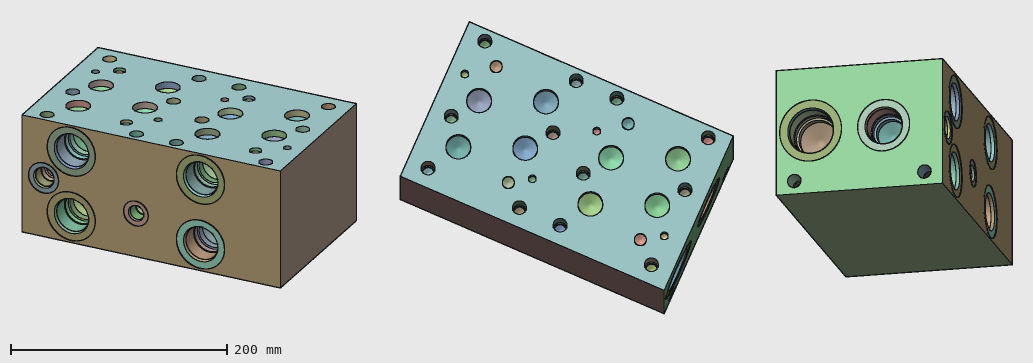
import cadquery as cq
import math

LENGTH = 266.7
WIDTH = 158.7
HEIGHT = 120.5

STATION_COUNT = 2
STATION_PITCH = LENGTH / STATION_COUNT

DRILL_POINT_ANGLE = 118.0
TIP_RATIO = 1 / math.tan(math.radians(DRILL_POINT_ANGLE / 2))

PATTERN_X = 20.5
PATTERN_Y = 11.0
SCREW_COLUMN_PITCH = 92.3
SCREW_ROW_PITCH = 130.5
SCREW_SPOTS = [
    (0, 0),
    (SCREW_COLUMN_PITCH, 0),
    (SCREW_COLUMN_PITCH, SCREW_ROW_PITCH),
    (0, SCREW_ROW_PITCH),
    (0, 53.3),
    (SCREW_COLUMN_PITCH, 77.0),
]
FLOW_SPOTS = [(17.5, 29.3), (17.5, 77.0), (74.7, 53.3), (74.7, 100.8)]
PILOT_SPOTS = [(19.0, 112.8), (73.0, 17.5)]
PIN_SPOTS = [(0, 100.8), (96.8, 35.7)]

FLOW_DIAMETER = 23.0
FLOW_DEPTH = 6.7
PILOT_DIAMETER = 11.2
PILOT_DEPTH = 3.2
PIN_DIAMETER = 7.2
PIN_DEPTH = 8.0

SCREW_DIAMETER = 12.8
SCREW_THREAD_DEPTH = 21.3
SCREW_DRILL_DIAMETER = 10.7
SCREW_DRILL_DEPTH = 26.7

LARGE_PORT = (59.0, 43.7, 41.3, 39.2, 35.5)
MAIN_PORT = (49.5, 35.5, 33.3, 31.2, 28.5)
PRESSURE_PORT = (49.5, 35.7, 33.3, 31.2, 27.0)
DRAIN_PORT = (31.0, 21.0, 19.0, 17.5, 14.5)
GAUGE_PORT = (25.3, 15.7, 14.5, 12.8, 10.0)

SPOTFACE_DEPTH = 0.8
SEAT_ANGLE = 15.0
LONG_SEAT_DEPTH = 3.2
LONG_THREAD_DEPTH = 19.7
SHORT_SEAT_DEPTH = 2.5
SHORT_THREAD_DEPTH = 14.5
TAP_RUNOUT = 6.0
BORE_EXTENSION = 8.0

PORT_X = 50.7
PORT_A_Z = 27.0
PORT_B_Z = 93.5
DRAIN_SPOT = (22.1, 60.3)
GAUGE_SPOT = (117.3, 44.3)
CROSS_DRILL_DIAMETER = 16.5
CROSS_DRILL_DEPTH = 42.7

TANK_Y = 126.0
PRESSURE_Y = 56.3
END_PORT_Z = HEIGHT / 2
END_SCREW_YS = (17.3, 141.4)
END_SCREW_Z = 12.5


def revolved_cutter(profile, face, place):
    """Revolve (radius, depth) points about an axis entering a face at a place."""
    axis = {"top": (0, 0, -1), "front": (0, 1, 0), "end": (1, 0, 0)}[face]
    origin = {
        "top": (place[0], place[1], HEIGHT),
        "front": (place[0], 0, place[1]),
        "end": (0, place[0], place[1]),
    }[face]
    across = (0, 0, 1) if face != "top" else (1, 0, 0)
    normal = cq.Vector(across).cross(cq.Vector(axis))
    plane = cq.Plane(origin, xDir=across, normal=normal.toTuple())
    outline = cq.Workplane(plane).polyline(profile).close()
    return outline.revolve(360, (0, 0), (0, 1)).val()


def drill_profile(steps):
    """Profile of a stepped drilling; each (diameter, depth) step ends in a drill point."""
    radii = [diameter / 2 for diameter, depth in steps] + [0]
    points = [(0, 0), (radii[0], 0)]
    for index, (diameter, depth) in enumerate(steps):
        points.append((radii[index], depth))
        cone_height = (radii[index] - radii[index + 1]) * TIP_RATIO
        points.append((radii[index + 1], depth + cone_height))
    return points


def drilled_hole(face, place, *steps):
    return revolved_cutter(drill_profile(steps), face, place)


def port(face, place, sizes, seat_depth, thread_depth):
    """Spotface, conical seal seat, thread bore, tap drill and flow bore."""
    spotface, seat, thread, tap_drill, bore = sizes
    seat_end = SPOTFACE_DEPTH + seat_depth
    seat_end_radius = seat / 2 - seat_depth * math.tan(math.radians(SEAT_ANGLE))
    tap_depth = thread_depth + TAP_RUNOUT
    mouth = [
        (0, 0),
        (spotface / 2, 0),
        (spotface / 2, SPOTFACE_DEPTH),
        (seat / 2, SPOTFACE_DEPTH),
        (seat_end_radius, seat_end),
        (thread / 2, seat_end),
        (thread / 2, thread_depth),
        (tap_drill / 2, thread_depth),
    ]
    drilling = drill_profile([(tap_drill, tap_depth), (bore, tap_depth + BORE_EXTENSION)])
    below_mouth = drilling[2:]
    return revolved_cutter(mouth + below_mouth, face, place)


def screw_hole(face, place):
    return drilled_hole(
        face,
        place,
        (SCREW_DIAMETER, SCREW_THREAD_DEPTH),
        (SCREW_DRILL_DIAMETER, SCREW_DRILL_DEPTH),
    )


def valve_station(offset):
    """All holes of one valve station on the top face."""
    def at(spot):
        return (offset + PATTERN_X + spot[0], PATTERN_Y + spot[1])

    holes = [screw_hole("top", at(spot)) for spot in SCREW_SPOTS]
    for spots, diameter, depth in (
        (FLOW_SPOTS, FLOW_DIAMETER, FLOW_DEPTH),
        (PILOT_SPOTS, PILOT_DIAMETER, PILOT_DEPTH),
        (PIN_SPOTS, PIN_DIAMETER, PIN_DEPTH),
    ):
        holes += [drilled_hole("top", at(spot), (diameter, depth)) for spot in spots]
    return holes


def front_ports():
    """A and B ports of every station, plus the drain and gauge ports."""
    cutters = [
        port("front", DRAIN_SPOT, DRAIN_PORT, SHORT_SEAT_DEPTH, SHORT_THREAD_DEPTH),
        port("front", GAUGE_SPOT, GAUGE_PORT, SHORT_SEAT_DEPTH, SHORT_THREAD_DEPTH),
    ]
    cross_drill = (CROSS_DRILL_DIAMETER, CROSS_DRILL_DEPTH)
    for station in range(STATION_COUNT):
        for z in (PORT_A_Z, PORT_B_Z):
            place = (PORT_X + station * STATION_PITCH, z)
            cutters.append(port("front", place, MAIN_PORT, LONG_SEAT_DEPTH, LONG_THREAD_DEPTH))
            if station > 0 or z != PORT_B_Z:
                cutters.append(drilled_hole("front", place, cross_drill))
    return cutters


def end_holes():
    """Tank and pressure ports with the two mounting screw holes."""
    cutters = [
        port("end", (TANK_Y, END_PORT_Z), LARGE_PORT, LONG_SEAT_DEPTH, LONG_THREAD_DEPTH),
        port("end", (PRESSURE_Y, END_PORT_Z), PRESSURE_PORT, LONG_SEAT_DEPTH, LONG_THREAD_DEPTH),
    ]
    cutters += [screw_hole("end", (y, END_SCREW_Z)) for y in END_SCREW_YS]
    return cutters


block = cq.Workplane("XY").box(LENGTH, WIDTH, HEIGHT, centered=False).val()
cutters = front_ports() + end_holes()
for station in range(STATION_COUNT):
    cutters += valve_station(station * STATION_PITCH)

result = cq.Workplane(block.cut(*cutters))